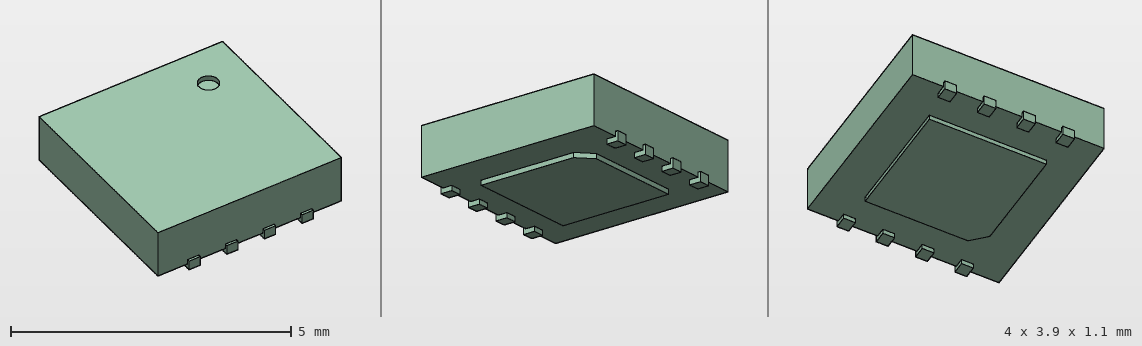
import cadquery as cq

overall_length = 4.0
overall_height = 1.1
body_side = 3.9
standoff = 0.1

terminal_length = 0.25
terminal_width = 0.24
terminal_height = 0.2
terminal_pitch = 0.8
terminals_per_side = 4

thermal_pad_side = 2.38
thermal_pad_chamfer = 0.29

marker_diameter = 0.4
marker_depth = 0.1
marker_offset = 1.1


def make_body():
    """Square package body raised above the seating plane."""
    height = overall_height - standoff
    body = cq.Workplane("XY").box(body_side, body_side, height, centered=(True, True, False))
    return body.translate((0, 0, standoff))


def make_thermal_pad():
    """Square pad under the body, with its pin-one corner cut off."""
    pad = cq.Workplane("XY").box(
        thermal_pad_side, thermal_pad_side, standoff, centered=(True, True, False)
    )
    return pad.edges("|Z").edges("<X").edges(">Y").chamfer(thermal_pad_chamfer)


def make_terminals():
    """Two rows of terminals along the -X and +X sides."""
    row_x = (overall_length - terminal_length) / 2
    return (
        cq.Workplane("XY")
        .rarray(2 * row_x, terminal_pitch, 2, terminals_per_side)
        .rect(terminal_length, terminal_width)
        .extrude(terminal_height)
    )


def make_marker():
    """Cutter for the round pin-one dimple in the top face."""
    return (
        cq.Workplane("XY", origin=(-marker_offset, marker_offset, overall_height))
        .circle(marker_diameter / 2)
        .extrude(-marker_depth)
    )


result = make_body().union(make_thermal_pad()).union(make_terminals()).cut(make_marker())